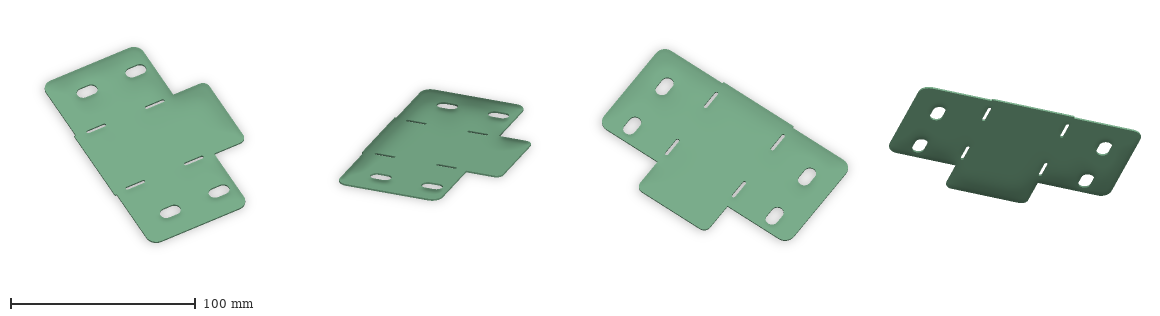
import cadquery as cq

thickness = 1.0
plate_length = 127.0
plate_width = 60.0
plate_corner_radius = 6.0

strip_width = 46.7
overall_width = 81.0
lip_depth = 1.0
tab_depth = overall_width - plate_width - lip_depth
tab_corner_radius = 4.0

mount_slot_length = 12.0
mount_slot_width = 7.0
mount_slot_spacing_x = 95.2
mount_slot_spacing_y = 30.0
mount_slot_offset_y = 5.0

narrow_slot_length = 12.0
narrow_slot_width = 2.0
narrow_slot_spacing_x = strip_width - narrow_slot_width
narrow_slot_spacing_y = 36.0


def make_plate():
    """Rectangular plate with four rounded corners."""
    plate = cq.Workplane("XY").rect(plate_length, plate_width).extrude(thickness)
    return plate.edges("|Z").fillet(plate_corner_radius)


def make_strip():
    """Central strip forming the rounded tab and the square-cornered lip."""
    strip_center_y = (tab_depth - lip_depth) / 2
    strip = (
        cq.Workplane("XY")
        .center(0, strip_center_y)
        .rect(strip_width, overall_width)
        .extrude(thickness)
    )
    return strip.edges("|Z and >Y").fillet(tab_corner_radius)


def make_slots(length, width, spacing_x, spacing_y, center_y):
    """Four through slots running along Y, on a rectangular pattern."""
    return (
        cq.Workplane("XY")
        .center(0, center_y)
        .rarray(spacing_x, spacing_y, 2, 2)
        .slot2D(length, width, 90)
        .extrude(thickness)
    )


mount_slots = make_slots(
    mount_slot_length,
    mount_slot_width,
    mount_slot_spacing_x,
    mount_slot_spacing_y,
    mount_slot_offset_y,
)
narrow_slots = make_slots(
    narrow_slot_length,
    narrow_slot_width,
    narrow_slot_spacing_x,
    narrow_slot_spacing_y,
    0,
)

result = make_plate().union(make_strip()).cut(mount_slots).cut(narrow_slots)